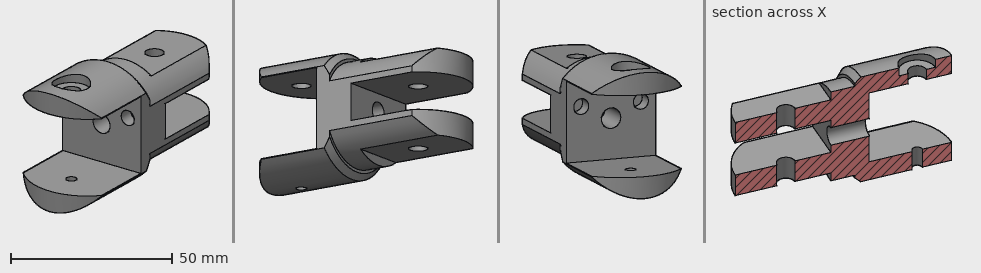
import cadquery as cq

width = 30.0
overall_length = 72.44

rear_radius = 17.0
rear_gap = 12.0
rear_arm_thickness = 8.0
rear_slot_depth = 32.0
rear_length = 40.0
rear_pivot_diameter = 6.0

front_radius = 20.0
shoulder_chamfer = 2.0
front_gap = 26.0
front_slot_depth = 27.5
front_pivot_setback = 11.5
screw_clearance_diameter = 6.0
screw_tap_diameter = 3.4
counterbore_diameter = 12.0
counterbore_depth = 3.0

web_hole_diameter = 6.5
pin_hole_diameter = 5.0
pin_hole_spacing = 20.0
pin_hole_height = 4.5
pin_hole_depth = 5.0

rear_pivot = 0.0
rear_end = rear_pivot + rear_radius
rear_slot_end = rear_end - rear_slot_depth
shoulder = rear_end - rear_length
front_end = rear_end - overall_length
front_slot_end = front_end + front_slot_depth
front_pivot = front_end + front_pivot_setback
front_rounding_center = front_end + front_radius


def block(x_size, y_min, y_max, z_min, z_max):
    """Box centred on X, between the given Y and Z limits."""
    return cq.Workplane("XY").box(
        x_size, y_max - y_min, z_max - z_min, centered=(True, False, False)
    ).translate((0, y_min, z_min))


def cylinder_along_y(radius, y_min, y_max, x=0.0, z=0.0):
    """Cylinder parallel to Y, between the given Y limits."""
    return cq.Workplane("XZ", origin=(x, y_max, z)).circle(radius).extrude(y_max - y_min)


def cylinder_along_z(radius, y, z_min, z_max):
    """Cylinder parallel to Z, centred on X, between the given Z limits."""
    return cq.Workplane("XY", origin=(0, y, z_min)).circle(radius).extrude(z_max - z_min)


def flat_sided_plan(radius, tip_center):
    """Prism in Z between the flat sides, running from the shoulder to a tip rounded about tip_center."""
    y_min = min(shoulder, tip_center)
    y_max = max(shoulder, tip_center)
    straight = block(width, y_min, y_max, -radius, radius)
    tip = cylinder_along_z(radius, tip_center, -radius, radius)
    sides = block(width, front_end, rear_end, -radius, radius)
    return straight.union(tip.intersect(sides))


def rear_body():
    """Round bar with a rounded tip, a flat on each arm and a slot between the arms."""
    arm_outer = rear_gap / 2 + rear_arm_thickness
    bar = cylinder_along_y(rear_radius, shoulder, rear_end)
    body = bar.intersect(flat_sided_plan(rear_radius, rear_pivot))
    removed_layers = (
        (arm_outer, rear_radius),
        (-rear_gap / 2, rear_gap / 2),
        (-rear_radius, -arm_outer),
    )
    for z_min, z_max in removed_layers:
        body = body.cut(block(2 * rear_radius, rear_slot_end, rear_end, z_min, z_max))
    return body.cut(cylinder_along_z(rear_pivot_diameter / 2, rear_pivot, -rear_radius, rear_radius))


def front_body():
    """Round bar with a chamfered shoulder, a rounded tip and a wide slot."""
    bar = cylinder_along_y(front_radius, front_end, shoulder).faces(">Y").chamfer(shoulder_chamfer)
    body = bar.intersect(flat_sided_plan(front_radius, front_rounding_center))
    slot = block(2 * front_radius, front_end, front_slot_end, -front_gap / 2, front_gap / 2)
    return body.cut(slot)


def front_screw_holes():
    """Counterbored clearance hole in the upper arm and a smaller hole in the lower arm."""
    seat = front_radius - counterbore_depth
    counterbore = cylinder_along_z(counterbore_diameter / 2, front_pivot, seat, front_radius)
    clearance = cylinder_along_z(screw_clearance_diameter / 2, front_pivot, 0, front_radius)
    tap = cylinder_along_z(screw_tap_diameter / 2, front_pivot, -front_radius, 0)
    return counterbore.union(clearance).union(tap)


def web_holes():
    """Central hole through the web and a blind pin hole on each side of it."""
    holes = cylinder_along_y(web_hole_diameter / 2, front_slot_end, rear_slot_end)
    for side in (-1, 1):
        holes = holes.union(
            cylinder_along_y(
                pin_hole_diameter / 2,
                front_slot_end,
                front_slot_end + pin_hole_depth,
                x=side * pin_hole_spacing / 2,
                z=pin_hole_height,
            )
        )
    return holes


result = rear_body().union(front_body()).cut(front_screw_holes()).cut(web_holes())